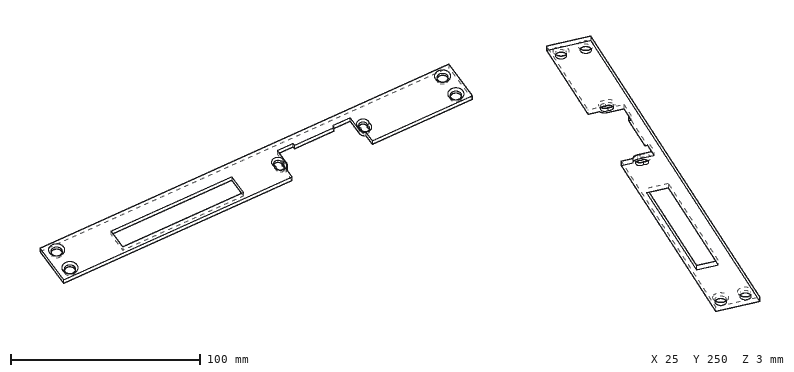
import cadquery as cq
import math

length = 250.0
width = 25.0
thickness = 3.0

sink_angle = 90

hole_diameter = 6.0
head_diameter = 8.5
hole_spacing_x = 14.0
hole_end_distance = 7.0

latch_hole_diameter = 4.5
latch_head_diameter = 6.8
latch_pair_x = 1.2
latch_pair_spacing = 2.5
latch_pair_offset_y = 26.0
latch_wall = 0.38

cutout_center_y = 39.2
cutout_left_x = -7.0
mouth_length = 49.0
tab_left_x = -5.5
tab_length = 24.2
tab_shift_y = -0.5

lip_radius = latch_head_diameter / 2 + latch_wall
lip_length = 2 * (latch_pair_offset_y - lip_radius)
lip_center_x = latch_pair_x + latch_pair_spacing / 2

window_center_x = 2.5
window_center_y = -49.8
window_width = 12.2
window_length = 73.8


def latch_cutout():
    """Stepped opening with a tab at the back and a rounded lip at each end of the mouth."""
    tab_top = tab_shift_y + tab_length / 2
    tab_bottom = tab_shift_y - tab_length / 2
    half_lip = lip_length / 2
    half_mouth = mouth_length / 2
    mouth_rise = latch_pair_offset_y - half_mouth
    lip_end_x = lip_center_x + math.sqrt(lip_radius**2 - mouth_rise**2)
    arc_step = lip_radius * math.sqrt(0.5)
    arc_x = lip_center_x + arc_step
    arc_y = latch_pair_offset_y - arc_step
    return (
        cq.Workplane("XY")
        .center(0, cutout_center_y)
        .moveTo(tab_left_x, tab_bottom)
        .lineTo(tab_left_x, tab_top)
        .lineTo(cutout_left_x, tab_top)
        .lineTo(cutout_left_x, half_lip)
        .lineTo(lip_center_x, half_lip)
        .threePointArc((arc_x, arc_y), (lip_end_x, half_mouth))
        .lineTo(width / 2, half_mouth)
        .lineTo(width / 2, -half_mouth)
        .lineTo(lip_end_x, -half_mouth)
        .threePointArc((arc_x, -arc_y), (lip_center_x, -half_lip))
        .lineTo(cutout_left_x, -half_lip)
        .lineTo(cutout_left_x, tab_bottom)
        .close()
        .extrude(thickness)
    )


def countersunk_hole(x, y, diameter, sink_diameter):
    """Solid of a through hole that widens to sink_diameter at the top face."""
    radius = diameter / 2
    sink_radius = sink_diameter / 2
    sink_depth = (sink_radius - radius) / math.tan(math.radians(sink_angle / 2))
    profile = [
        (0, 0),
        (radius, 0),
        (radius, thickness - sink_depth),
        (sink_radius, thickness),
        (0, thickness),
    ]
    return (
        cq.Workplane("XZ")
        .polyline(profile)
        .close()
        .revolve(360, (0, 0), (0, 1))
        .translate((x, y, 0))
    )


def bolt_window():
    """Rectangular opening through the plate."""
    return (
        cq.Workplane("XY")
        .center(window_center_x, window_center_y)
        .rect(window_width, window_length)
        .extrude(thickness)
    )


plate = cq.Workplane("XY").box(width, length, thickness, centered=(True, True, False))
plate = plate.cut(latch_cutout())
plate = plate.cut(bolt_window())

for side_x in (-1, 1):
    for side_y in (-1, 1):
        hole_x = side_x * hole_spacing_x / 2
        hole_y = side_y * (length / 2 - hole_end_distance)
        plate = plate.cut(countersunk_hole(hole_x, hole_y, hole_diameter, head_diameter))

        latch_x = latch_pair_x + side_x * latch_pair_spacing / 2
        latch_y = cutout_center_y + side_y * latch_pair_offset_y
        plate = plate.cut(countersunk_hole(latch_x, latch_y, latch_hole_diameter, latch_head_diameter))

result = plate